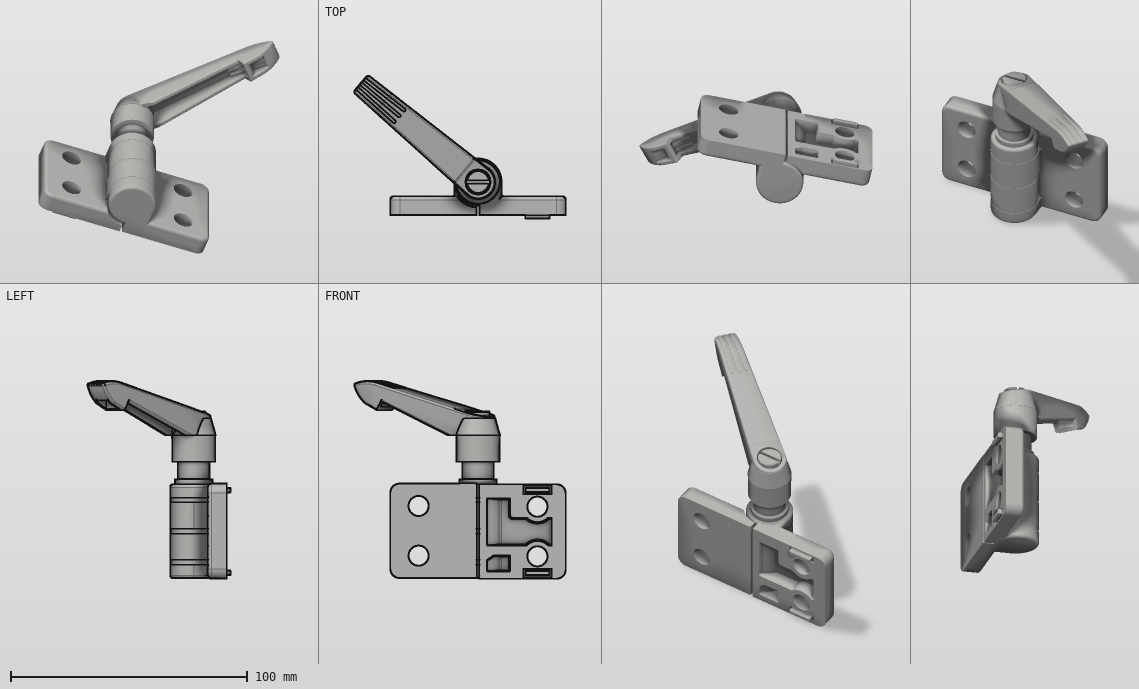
import cadquery as cq
import math


LEAF_HEIGHT = 40.0
LEAF_SHIFT = 0.3
LEAF_REACH = 37.1
LEAF_GAP = 1.2
FRONT_Y = -14.0
PLATE_THICKNESS = 8.0
BACK_Y = FRONT_Y + PLATE_THICKNESS
PLATE_CORNER = 4.0
PLATE_BACK_FILLET = 1.5
HOLE_DIAMETER = 8.4
HOLE_X = 25.1
HOLE_SPACING = 21.0
HOLE_ZS = [LEAF_HEIGHT / 2 - HOLE_SPACING / 2, LEAF_HEIGHT / 2 + HOLE_SPACING / 2]

KNUCKLE_RADIUS = 10.0
KNUCKLE_FILLET = 1.3
WEB_FILLET = 0.8
CLEARANCE_RADIUS = 10.8
RING_DIAMETER = 19.7
RING_HEIGHT = 2.0
END_KNUCKLE = 5.7
STACK_TOP = LEAF_HEIGHT
STACK_BOTTOM = LEAF_SHIFT
STACK_MIDDLE = (STACK_TOP + STACK_BOTTOM) / 2
RING_BOTTOMS = [
    STACK_BOTTOM + END_KNUCKLE,
    STACK_MIDDLE - RING_HEIGHT / 2,
    STACK_TOP - END_KNUCKLE - RING_HEIGHT,
]
PIN_DIAMETER = 8.0
PIN_END_Z = STACK_BOTTOM + 2.0

POCKET_DEPTH = 5.3
POCKET_FLOOR_Y = FRONT_Y + POCKET_DEPTH
POCKET_CORNER = 0.8
FLOOR_FILLET = 1.6
POCKET_DRAFT = 7.0
BARREL_WALL_RADIUS = 12.7
POCKET_LEFT = 3.65
POCKET_STEP_X = 13.7
POCKET_RIGHT = 31.1
MAIN_BOTTOM = 14.0
MAIN_STEP_Z = 25.9
MAIN_TOP = 34.1
HOLE_WALL_DIAMETER = 13.0
SMALL_BOTTOM = 3.05
SMALL_TOP = 10.05
SMALL_CUT_X = 3.2
SMALL_CUT_Z = 2.2

PEG_X = 25.1
PEG_Z_FROM_EDGE = 2.55
PEG_LENGTH = 10.3
PEG_WIDTH = 2.0
PEG_HEIGHT = 1.6
PEG_CHAMFER = 0.25
PEG_POCKET_LENGTH = 12.0
PEG_POCKET_WIDTH = 3.6
PEG_POCKET_DEPTH = 1.0

WASHER_DIAMETER = 16.0
WASHER_HEIGHT = 2.0
WASHER_TOP = STACK_TOP + WASHER_HEIGHT
POST_DIAMETER = 13.5
POST_FOOT_DIAMETER = 13.0
POST_FOOT_HEIGHT = 0.25

HUB_BOTTOM = 49.4
HUB_SHOULDER_Z = 60.6
HUB_CONE_TOP = 67.9
HUB_BOTTOM_RADIUS = 9.15
HUB_SHOULDER_RADIUS = 9.2
CONE_BASE_RADIUS = 9.35
CONE_TOP_RADIUS = 7.3
POST_TOP = HUB_SHOULDER_Z - 1.0
LEVER_ANGLE = 140.0
ARM_LENGTH = 64.7
ARM_ROOT_RADIUS = 7.15
ARM_TAPER = math.radians(2.1)
ARM_BLANK_WIDTH = 4 * ARM_ROOT_RADIUS
ARM_TOP_Z = 70.2
ARM_TOP_SLOPE = 0.24
SHOULDER_U = 7.9
SHOULDER_WIDTH = 0.7
SHOULDER_DROP = 0.2
ARM_TOP_END = 52.3
ARM_FILLET = 0.9
ARM_LIP_FILLET = 1.1
ARM_BOTTOM_START = 11.6
NOTCH_U = 49.3
NOTCH_Z = 74.75
HEEL_U = 51.8
HEEL_Z = 71.2
BELLY_U = 58.2
BELLY_Z = 73.9
NOSE_Z = 81.6
BROW_U = 64.2
BROW_Z = 82.6
ARM_WALL = 1.8
CHANNEL_START = 8.0
CHANNEL_END = 51.0
CHANNEL_STEP = 0.3
CHANNEL_ROOF = 2.5
GRIP_POCKET_START = 53.3
GRIP_POCKET_END = 60.2
GRIP_POCKET_ROOF = 77.0
RIB_START = 43.5
RIB_WIDTH = 1.3
RIB_HEIGHT = 0.28
RIB_SPACING_START = 3.2
RIB_SPACING_END = 2.5
RIB_BASE_Z = NOTCH_Z + 2.0
RIB_BLANK_HEIGHT = 12.0

SCREW_BORE = 10.6
SCREW_HEAD = 10.0
SCREW_HEAD_HEIGHT = 4.0
SCREW_TOP = 70.8
SCREW_SEAT = SCREW_TOP - SCREW_HEAD_HEIGHT
SCREW_CHAMFER = 0.4
SCREW_SHANK = 6.0
SCREW_LENGTH_IN_POST = 8.0
SLOT_WIDTH = 1.4
SLOT_DEPTH = 1.2


def cylinder(diameter, bottom, top):
    return cq.Workplane("XY").workplane(offset=bottom).circle(diameter / 2).extrude(top - bottom)


def box(x0, x1, y0, y1, z0, z1):
    return cq.Workplane("XY").box(x1 - x0, y1 - y0, z1 - z0, centered=False).translate((x0, y0, z0))


def front_plane(y):
    """Workplane at the given Y whose local axes are -X and Z and whose normal is +Y."""
    return cq.Workplane(cq.Plane(origin=(0, y, 0), xDir=(-1, 0, 0), normal=(0, 1, 0)))


def plate():
    """Plate of a leaf on the +X side, standing on Z = 0."""
    body = box(LEAF_GAP / 2, LEAF_REACH, FRONT_Y, BACK_Y, 0, LEAF_HEIGHT)
    body = body.edges("|Y and >X").fillet(PLATE_CORNER)
    body = body.faces(">Y").edges("not <X").fillet(PLATE_BACK_FILLET)
    for z in HOLE_ZS:
        hole = cq.Workplane("XZ", origin=(HOLE_X, 0, z)).circle(HOLE_DIAMETER / 2)
        body = body.cut(hole.extrude(2 * FRONT_Y, both=True))
    return body


def knuckle(bottom, top):
    """Barrel section with a flat side running to the plate at X = barrel radius."""
    r = KNUCKLE_RADIUS
    inside = BACK_Y - PLATE_BACK_FILLET - KNUCKLE_FILLET
    barrel = cylinder(2 * r, bottom, top)
    return barrel.union(box(LEAF_GAP / 2, r, inside, 0, bottom, top))


def web_corner(bottom, top):
    """Concave fillet between a knuckle's flat side and the back of the plate."""
    return (
        cq.Workplane("XY", origin=(KNUCKLE_RADIUS, BACK_Y, bottom))
        .lineTo(WEB_FILLET, 0)
        .radiusArc((0, WEB_FILLET), WEB_FILLET)
        .close()
        .extrude(top - bottom)
    )


def leaf(end_span, inner_span, clearances, outer_face):
    """Leaf on the +X side with two knuckles; the end knuckle is rounded at its outer face."""
    body = plate()
    for bottom, top in clearances:
        body = body.cut(cylinder(2 * CLEARANCE_RADIUS, bottom, top))
    end_knuckle = knuckle(*end_span).faces(outer_face).edges().fillet(KNUCKLE_FILLET)
    body = body.union(end_knuckle).union(knuckle(*inner_span)).union(web_corner(*inner_span))
    bottom, top = end_span
    if outer_face == ">Z":
        top -= KNUCKLE_FILLET
    else:
        bottom += KNUCKLE_FILLET
    return body.union(web_corner(bottom, top))


def drafted_pocket(points):
    """Pocket cut from the mounting face, narrowing toward a floor that rises over the barrel."""
    outline = cq.Sketch().polygon([(-x, z) for x, z in points + points[:1]]).vertices().fillet(POCKET_CORNER)
    pocket = front_plane(FRONT_Y).placeSketch(outline).extrude(POCKET_DEPTH, taper=POCKET_DRAFT)
    pocket = pocket.cut(cylinder(2 * BARREL_WALL_RADIUS, 0, LEAF_HEIGHT))
    return pocket.edges(cq.selectors.NearestToPointSelector(floor_bend(points))).fillet(FLOOR_FILLET)


def floor_bend(points):
    """Point on the line where the floor bends from flat to the curve over the barrel."""
    heights = [z for x, z in points]
    bend_x = math.sqrt(BARREL_WALL_RADIUS**2 - POCKET_FLOOR_Y**2)
    return (bend_x, POCKET_FLOOR_Y, (min(heights) + max(heights)) / 2)


def main_pocket():
    draft_room = POCKET_DEPTH * math.tan(math.radians(POCKET_DRAFT))
    far_x = POCKET_RIGHT + draft_room + POCKET_CORNER
    points = [
        (POCKET_LEFT, MAIN_BOTTOM),
        (far_x, MAIN_BOTTOM),
        (far_x, MAIN_STEP_Z),
        (POCKET_STEP_X, MAIN_STEP_Z),
        (POCKET_STEP_X, MAIN_TOP),
        (POCKET_LEFT, MAIN_TOP),
    ]
    pocket = drafted_pocket(points)
    for z in HOLE_ZS:
        wall = front_plane(FRONT_Y).center(-HOLE_X, z).circle(HOLE_WALL_DIAMETER / 2)
        pocket = pocket.cut(wall.extrude(POCKET_DEPTH, taper=-POCKET_DRAFT))
    return pocket.intersect(box(0, POCKET_RIGHT, FRONT_Y, POCKET_FLOOR_Y, 0, LEAF_HEIGHT))


def small_pocket():
    points = [
        (POCKET_LEFT, SMALL_BOTTOM),
        (POCKET_STEP_X, SMALL_BOTTOM),
        (POCKET_STEP_X, SMALL_TOP),
        (POCKET_LEFT + SMALL_CUT_X, SMALL_TOP),
        (POCKET_LEFT, SMALL_TOP - SMALL_CUT_Z),
    ]
    return drafted_pocket(points)


def add_peg(body, z):
    """Locating peg standing in a shallow rectangular recess."""
    floor = FRONT_Y + PEG_POCKET_DEPTH
    half_length = PEG_POCKET_LENGTH / 2
    half_width = PEG_POCKET_WIDTH / 2
    recess = box(PEG_X - half_length, PEG_X + half_length, FRONT_Y, floor, z - half_width, z + half_width)
    half_length = PEG_LENGTH / 2
    half_width = PEG_WIDTH / 2
    tip = FRONT_Y - PEG_HEIGHT
    peg = box(PEG_X - half_length, PEG_X + half_length, tip, floor, z - half_width, z + half_width)
    peg = peg.faces("<Y").edges().chamfer(PEG_CHAMFER)
    return body.cut(recess).union(peg)


def pin_bore(body):
    return body.cut(cylinder(PIN_DIAMETER, PIN_END_Z, STACK_TOP))


def build_right_leaf():
    lower, middle, upper = RING_BOTTOMS
    body = leaf(
        (upper + RING_HEIGHT, STACK_TOP),
        (lower + RING_HEIGHT, middle),
        [(0, lower + RING_HEIGHT), (middle, upper + RING_HEIGHT)],
        ">Z",
    )
    body = body.cut(main_pocket()).cut(small_pocket())
    for z in (PEG_Z_FROM_EDGE, LEAF_HEIGHT - PEG_Z_FROM_EDGE):
        body = add_peg(body, z)
    return pin_bore(body)


def build_left_leaf():
    lower, middle, upper = RING_BOTTOMS
    shift = LEAF_SHIFT
    body = leaf(
        (STACK_BOTTOM - shift, lower - shift),
        (middle + RING_HEIGHT - shift, upper - shift),
        [(lower - shift, middle + RING_HEIGHT - shift), (upper - shift, LEAF_HEIGHT)],
        "<Z",
    )
    return pin_bore(body.mirror("YZ").translate((0, 0, shift)))


def build_ring(bottom):
    top = bottom + RING_HEIGHT
    return cylinder(RING_DIAMETER, bottom, top).cut(cylinder(PIN_DIAMETER, bottom, top))


def build_washer():
    washer = cylinder(WASHER_DIAMETER, STACK_TOP, WASHER_TOP)
    return washer.cut(cylinder(PIN_DIAMETER, STACK_TOP, WASHER_TOP))


def build_post():
    """Post under the lever, with the hinge pin below it and a hole for the screw on top."""
    foot_top = WASHER_TOP + POST_FOOT_HEIGHT
    post = cylinder(POST_DIAMETER, foot_top, POST_TOP)
    post = post.union(cylinder(POST_FOOT_DIAMETER, WASHER_TOP, foot_top))
    post = post.union(cylinder(PIN_DIAMETER, PIN_END_Z, WASHER_TOP))
    return post.cut(cylinder(SCREW_SHANK, POST_TOP - SCREW_LENGTH_IN_POST, POST_TOP))


def build_screw():
    head = cylinder(SCREW_HEAD, SCREW_SEAT, SCREW_TOP).faces(">Z").edges().chamfer(SCREW_CHAMFER)
    r = SCREW_HEAD / 2
    half = SLOT_WIDTH / 2
    head = head.cut(box(-r, r, -half, half, SCREW_TOP - SLOT_DEPTH, SCREW_TOP))
    return head.union(cylinder(SCREW_SHANK, POST_TOP - SCREW_LENGTH_IN_POST, SCREW_SEAT))




def top_z(u):
    return ARM_TOP_Z + ARM_TOP_SLOPE * u


def half_width(u):
    """Half the arm's width: its sides touch the root circle and close in toward the tip."""
    return ARM_ROOT_RADIUS / math.cos(ARM_TAPER) - u * math.tan(ARM_TAPER)


def side_plane():
    """Workplane beside the arm, from which extrusions run across the whole arm."""
    return cq.Workplane("XZ", origin=(0, ARM_BLANK_WIDTH / 2, 0))


def arm_top(profile, raised):
    """Continues a side profile up the end of the root, along the top and over the brow to the nose."""
    root_u = -ARM_BLANK_WIDTH / 2
    return (
        profile.lineTo(root_u, top_z(root_u) + raised)
        .lineTo(ARM_TOP_END, top_z(ARM_TOP_END) + raised)
        .tangentArcPoint((BROW_U, BROW_Z + raised), relative=False)
        .tangentArcPoint((ARM_LENGTH, NOSE_Z), relative=False)
    )


def arm_side():
    """Side profile of the arm: straight underside, notch, heel, rounded nose and sloping top."""
    root_u = -ARM_BLANK_WIDTH / 2
    profile = arm_top(side_plane().moveTo(root_u, HUB_SHOULDER_Z), 0)
    profile = (
        profile.tangentArcPoint((BELLY_U, BELLY_Z), relative=False)
        .lineTo(HEEL_U, HEEL_Z)
        .lineTo(NOTCH_U, NOTCH_Z)
        .lineTo(ARM_BOTTOM_START, HUB_SHOULDER_Z)
        .close()
    )
    return profile.extrude(ARM_BLANK_WIDTH)


def root_trim():
    """Material taken off the top at the root, leaving a low sloped shoulder across the arm."""
    far_u = -ARM_BLANK_WIDTH / 2
    foot_u = SHOULDER_U - SHOULDER_WIDTH
    return (
        side_plane()
        .moveTo(SHOULDER_U, top_z(SHOULDER_U))
        .lineTo(foot_u, top_z(foot_u) - SHOULDER_DROP)
        .lineTo(far_u, top_z(far_u) - SHOULDER_DROP)
        .lineTo(far_u, SCREW_TOP)
        .lineTo(SHOULDER_U, 2 * SCREW_TOP)
        .close()
        .extrude(ARM_BLANK_WIDTH)
    )


def arm_outline():
    """Whole plan shape of the arm: round about the hinge axis, tapering to the tip."""
    tangent_u = ARM_ROOT_RADIUS * math.sin(ARM_TAPER)
    tangent_v = ARM_ROOT_RADIUS * math.cos(ARM_TAPER)
    end = ARM_LENGTH + ARM_FILLET
    tip = half_width(end)
    return (
        cq.Workplane("XY", origin=(0, 0, HUB_BOTTOM))
        .moveTo(end, -tip)
        .lineTo(end, tip)
        .lineTo(tangent_u, tangent_v)
        .threePointArc((-ARM_ROOT_RADIUS, 0), (tangent_u, -tangent_v))
        .close()
        .extrude(SCREW_TOP)
    )


def on_rim(edge):
    """True for the edges of the flanks along the top, round the root and nose, and along the grip."""
    centre = edge.Center()
    runs_lengthwise = edge.BoundingBox().xlen > 0.1
    lies_on_top = centre.z > top_z(min(centre.x, ARM_TOP_END)) - 1.5
    lies_on_grip = centre.x > HEEL_U
    return runs_lengthwise and (lies_on_top or lies_on_grip)


def on_lower_lip(edge):
    """True for the two long edges of the arm's underside."""
    centre = edge.Center()
    runs_lengthwise = edge.BoundingBox().xlen > NOTCH_U / 2
    return runs_lengthwise and centre.z < (HUB_SHOULDER_Z + NOTCH_Z) / 2 + 1


def arm_ribs():
    """Three raised grip ribs with round ends, drawing closer together toward the tip."""
    root_u = -ARM_BLANK_WIDTH / 2
    shell = arm_top(side_plane().moveTo(root_u, NOTCH_Z), RIB_HEIGHT)
    shell = shell.lineTo(BELLY_U, NOTCH_Z).close().extrude(ARM_BLANK_WIDTH)
    ribs = None
    for side in (-1, 0, 1):
        v0 = side * RIB_SPACING_START
        v1 = side * RIB_SPACING_END
        angle = math.degrees(math.atan2(v1 - v0, ARM_LENGTH - RIB_START))
        length = 2 * (ARM_LENGTH - RIB_START)
        strip = (
            cq.Workplane("XY", origin=(RIB_START, v0, RIB_BASE_Z))
            .transformed(rotate=(0, 0, angle))
            .center(length / 2, 0)
            .slot2D(length + RIB_WIDTH, RIB_WIDTH)
            .extrude(RIB_BLANK_HEIGHT)
        )
        rib = strip.intersect(shell)
        ribs = rib if ribs is None else ribs.union(rib)
    return ribs


def between_walls(start, end):
    """Tapered block filling the space between the arm's two side walls."""
    points = [
        (start, half_width(start) - ARM_WALL),
        (end, half_width(end) - ARM_WALL),
        (end, ARM_WALL - half_width(end)),
        (start, ARM_WALL - half_width(start)),
    ]
    return cq.Workplane("XY", origin=(0, 0, HUB_BOTTOM)).polyline(points).close().extrude(SCREW_TOP)


def channel():
    """Hollow along the underside of the arm, running through the notch into the grip."""
    side = (
        side_plane()
        .moveTo(CHANNEL_START, HUB_SHOULDER_Z)
        .lineTo(NOTCH_U, HUB_SHOULDER_Z)
        .lineTo(CHANNEL_END, NOTCH_Z - CHANNEL_STEP)
        .lineTo(CHANNEL_END, top_z(CHANNEL_END) - CHANNEL_ROOF)
        .lineTo(CHANNEL_START, top_z(CHANNEL_START) - CHANNEL_ROOF)
        .close()
        .extrude(ARM_BLANK_WIDTH)
    )
    return side.intersect(between_walls(CHANNEL_START, CHANNEL_END))


def grip_pocket():
    """Blind recess in the underside of the grip."""
    block = between_walls(GRIP_POCKET_START, GRIP_POCKET_END)
    reach = ARM_BLANK_WIDTH / 2
    return block.intersect(box(0, ARM_LENGTH, -reach, reach, HUB_SHOULDER_Z, GRIP_POCKET_ROOF))


def build_arm():
    arm = arm_side().intersect(arm_outline())
    arm = arm.newObject(arm.edges().filter(on_rim).vals()).fillet(ARM_FILLET)
    arm = arm.newObject(arm.edges().filter(on_lower_lip).vals()).fillet(ARM_LIP_FILLET)
    arm = arm.cut(root_trim()).cut(channel()).cut(grip_pocket())
    return arm.union(arm_ribs())


def build_hub():
    return (
        cq.Workplane("XZ")
        .moveTo(0, HUB_BOTTOM)
        .lineTo(HUB_BOTTOM_RADIUS, HUB_BOTTOM)
        .lineTo(HUB_SHOULDER_RADIUS, HUB_SHOULDER_Z)
        .lineTo(CONE_BASE_RADIUS, HUB_SHOULDER_Z)
        .lineTo(CONE_TOP_RADIUS, HUB_CONE_TOP)
        .lineTo(0, HUB_CONE_TOP)
        .close()
        .revolve(360, (0, 0, 0), (0, 1, 0))
    )


def build_lever():
    lever = build_arm().union(build_hub())
    lever = lever.cut(cylinder(SCREW_BORE, SCREW_SEAT, 2 * SCREW_TOP))
    lever = lever.cut(cylinder(SCREW_SHANK, POST_TOP, SCREW_SEAT))
    lever = lever.cut(cylinder(POST_DIAMETER, HUB_BOTTOM, POST_TOP))
    return lever.rotate((0, 0, 0), (0, 0, 1), LEVER_ANGLE)


right_leaf = build_right_leaf()
left_leaf = build_left_leaf()
rings = [build_ring(bottom) for bottom in RING_BOTTOMS]
washer = build_washer()
post = build_post()
lever = build_lever()
screw = build_screw()

result = cq.Compound.makeCompound(
    [
        right_leaf.val(),
        left_leaf.val(),
        *[ring.val() for ring in rings],
        washer.val(),
        post.val(),
        lever.val(),
        screw.val(),
    ]
)